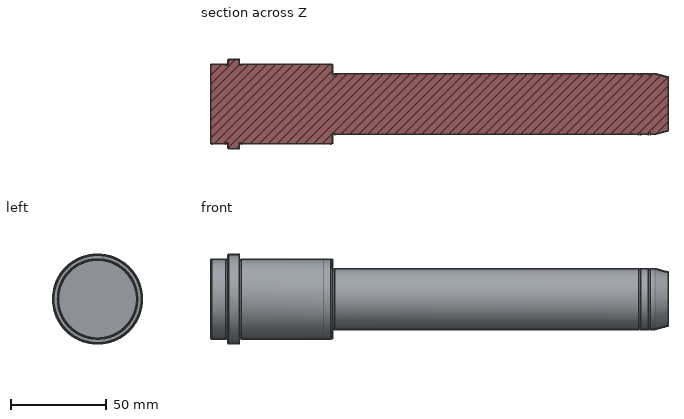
import cadquery as cq
import math

total_length = 240.0
body_diameter = 42.0
collar_diameter = 47.0
pin_diameter = 32.0

collar_start = 9.0
collar_end = 15.0
lead_in_start = 59.0
body_end = 64.0
nose_start = 233.0

nose_angle = math.radians(15)

head_chamfer = 0.5
collar_chamfer = 0.5
body_chamfer_length = 1.0
body_chamfer_depth = 0.5

groove_radius = 0.5
nose_groove_centers = (225.0, 230.0)

body_radius = body_diameter / 2
collar_radius = collar_diameter / 2
pin_radius = pin_diameter / 2
nose_tip_radius = pin_radius - (total_length - nose_start) * math.tan(nose_angle)


def add_groove(profile, center, surface_radius):
    """Half-round groove; the profile must already stand at the groove's near edge."""
    return profile.threePointArc(
        (center, surface_radius - groove_radius),
        (center + groove_radius, surface_radius),
    )


def add_head(profile):
    """Chamfered head end, up to the groove in front of the collar."""
    groove_center = collar_start - groove_radius
    profile = (
        profile.lineTo(0, body_radius - head_chamfer)
        .lineTo(head_chamfer, body_radius)
        .lineTo(groove_center - groove_radius, body_radius)
    )
    return add_groove(profile, groove_center, body_radius)


def add_collar(profile):
    """Collar with its head-side rim chamfered."""
    return (
        profile.lineTo(collar_start, collar_radius - collar_chamfer)
        .lineTo(collar_start + collar_chamfer, collar_radius)
        .lineTo(collar_end, collar_radius)
        .lineTo(collar_end, body_radius)
    )


def add_body(profile):
    """Body behind the collar; the lead-in is a separate face of the same diameter."""
    profile = add_groove(profile, collar_end + groove_radius, body_radius)
    return (
        profile.lineTo(lead_in_start, body_radius)
        .lineTo(body_end - body_chamfer_length, body_radius)
        .lineTo(body_end, body_radius - body_chamfer_depth)
    )


def add_pin(profile):
    """Long pin with a groove at its root, two nose grooves and a tapered nose."""
    profile = profile.lineTo(body_end, pin_radius)
    profile = add_groove(profile, body_end + groove_radius, pin_radius)
    for center in nose_groove_centers:
        profile = profile.lineTo(center - groove_radius, pin_radius)
        profile = add_groove(profile, center, pin_radius)
    return (
        profile.lineTo(nose_start, pin_radius)
        .lineTo(total_length, nose_tip_radius)
        .lineTo(total_length, 0)
    )


half_profile = cq.Workplane("XY").moveTo(0, 0)
half_profile = add_head(half_profile)
half_profile = add_collar(half_profile)
half_profile = add_body(half_profile)
half_profile = add_pin(half_profile)

result = half_profile.close().revolve(360, (0, 0, 0), (1, 0, 0), clean=False)